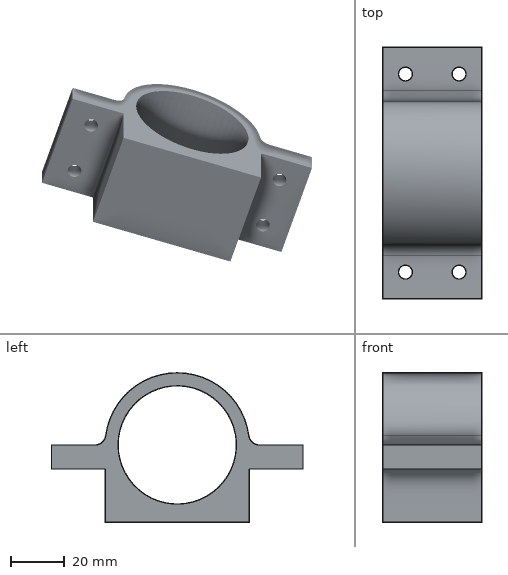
import cadquery as cq
import math

width = 37.0
length = 94.0
height = 55.9
outer_radius = 27.0
bore_diameter = 44.1
flange_thickness = 9.0
root_radius = 4.0
hole_diameter = 5.1
hole_spacing_x = 20.0
hole_spacing_y = 74.0

axis_z = height - outer_radius
flange_bottom_z = axis_z - flange_thickness

blend_y = math.sqrt((outer_radius + root_radius) ** 2 - root_radius ** 2)
blend_z = axis_z + root_radius
touch_ratio = outer_radius / (outer_radius + root_radius)
touch_y = blend_y * touch_ratio
touch_z = axis_z + root_radius * touch_ratio


def make_housing():
    """Rectangular base topped by a full-width half round."""
    base = cq.Workplane("XY").box(width, 2 * outer_radius, axis_z, centered=(True, True, False))
    barrel = (
        cq.Workplane("YZ", origin=(-width / 2, 0, axis_z))
        .circle(outer_radius)
        .extrude(width)
    )
    return base.union(barrel)


def make_flanges():
    """Plate through the housing that forms both mounting flanges."""
    return (
        cq.Workplane("XY", origin=(0, 0, flange_bottom_z))
        .box(width, length, flange_thickness, centered=(True, True, False))
    )


def make_root_blend(side):
    """Concave fillet strip where a flange meets the half round."""
    contact_angle = math.atan2(root_radius, blend_y)
    middle_angle = (contact_angle + math.pi / 2) / 2
    middle_y = blend_y - root_radius * math.cos(middle_angle)
    middle_z = blend_z - root_radius * math.sin(middle_angle)
    return (
        cq.Workplane("YZ", origin=(-width / 2, 0, 0))
        .moveTo(side * blend_y, axis_z)
        .threePointArc((side * middle_y, middle_z), (side * touch_y, touch_z))
        .lineTo(0, axis_z)
        .close()
        .extrude(width)
    )


def make_mounting_holes():
    """Four vertical through holes, two in each flange."""
    return (
        cq.Workplane("XY")
        .rarray(hole_spacing_x, hole_spacing_y, 2, 2)
        .circle(hole_diameter / 2)
        .extrude(height)
    )


bore = (
    cq.Workplane("YZ", origin=(-width / 2, 0, axis_z))
    .circle(bore_diameter / 2)
    .extrude(width)
)

result = make_housing().union(make_flanges())
for side in (-1, 1):
    result = result.union(make_root_blend(side))
result = result.cut(make_mounting_holes()).cut(bore)